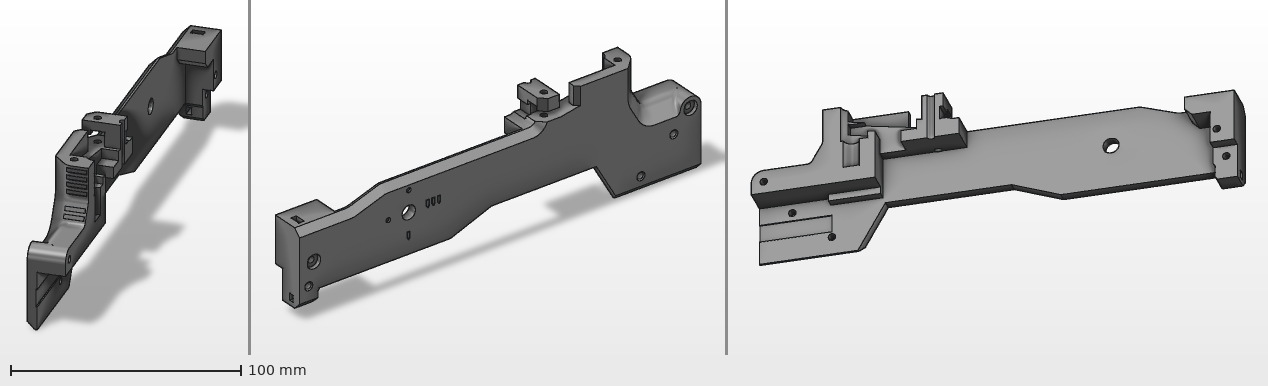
import cadquery as cq
import math


width = 17.5
length = 218.2
height = 65.0
plate_thickness = 4.5
bevel = 3.5

rear_top = 45.6
mid_top = 51.5
rear_slope_start = 189.5
rear_slope_end = 172.0
slope_radius = 8.7

foot_y = 208.2
foot_bottom = 5.2
foot_relief_y = 0.9
foot_relief_z = 1.3
rear_bottom = 13.3
mid_bottom = 21.8
rear_ramp_start = 136.2
rear_ramp_end = 114.0
keel_ramp_start = 57.0
keel_ramp_end = 44.5

tower_back = 86.6
tower_front = 77.0
tower_floor = 53.5
tower_root_radius = 4.8
head_bottom = 58.5
column_x = 10.3
column_back = 85.1
column_floor = 52.4
head_recess_x = 3.7
head_recess_top = 60.7
tower_hole_x = 5.7
tower_hole_y = 81.2

wall_y = 67.7
wall_x = 5.7
wall_bevel = 2.2
floor_start = 76.2
floor_slope = 0.19
rail_x = 9.5
tower_ledge_y = 74.6
tower_ledge_z = 49.0
opening_front = 55.9
shelf_drop = 6.5

block_back = 42.5
grip_front = 32.3
grip_bend_z = 48.7
grip_slope_angle = 30.0
grip_top = 39.0
grip_upper_radius = 4.8
grip_lower_radius = 2.6
grip_chamfer = 7.5
grip_edge_radius = 6.0
nose_radius = 5.7
nose_z = grip_top - nose_radius
nose_root_radius = 2.2

grip_flange_bottom = nose_z - nose_radius
tower_flange_bottom = 43.6
tower_flange_back = 93.8
rear_flange_front = 195.8
rear_flange_bottom = 36.5
rear_wall_step_z = 21.2
rear_wall_step_x = 12.5

screw_diameter = 3.3
pin_head_diameter = 7.2
screw_countersink_diameter = 4.4
pin_head_depth = 2.2
selector_diameter = 7.2
selector_y = 158.9
selector_z = 34.3
detent_diameter = 2.5
detent_depth = 1.0
detent_offset = 11.1

pin_centres = [(nose_radius, nose_z), (210.4, 27.5)]
screw_centres = [(14.8, 23.4), (32.7, 8.5), (213.2, 16.1)]

grip_screw_x = 8.7
grip_screw_y = 38.8
grip_screw_depth = 13.0
spring_y = 45.2
spring_pocket_diameter = 9.5
spring_pocket_back = 52.5
spring_pocket_floor = 48.0
spring_hole_diameter = 7.2
spring_hole_floor = 35.0

underside_chamfer = 3.3
rear_slot_x0 = 5.7
rear_slot_x1 = 11.3
rear_slot_mid = 8.5
rear_slot_y0 = 211.5
rear_slot_y1 = 214.3
rear_slot_depth = 2.2
rear_slot_step_z = rear_top - 2 * rear_slot_depth
foot_window_x = 7.2
foot_window_bottom = 7.6
foot_window_top = 11.1

grip_rib_x = 8.5
grip_rib_height = 3.3
end_pocket_depth = 0.7
end_pocket_length = 32.7
end_pocket_bottom = 11.1
end_pocket_top = 19.5

groove_x0 = 7.0
groove_x1 = 16.5
groove_height = 2.0
groove_pitch = 3.5
groove_depth = 0.7
first_groove_drop = 2.5
upper_groove_count = 4
first_lower_groove = 3.0
lower_groove_count = 2

mark_width = 1.5
mark_length = 4.0
mark_tip = 1.0
mark_depth = 0.5
mark_top_offset = 2.6
mark_first_offset = 10.5
mark_pitch = 3.0
mark_count = 3
lower_mark_offset = 9.8

margin = 11.0
reach = 0.2


def floor_z(y):
    """Height of the sloping floor between the tower and the grip block."""
    return tower_floor + floor_slope * (floor_start - y)


def box(x0, x1, y0, y1, z0, z1):
    return cq.Workplane("XY").box(x1 - x0, y1 - y0, z1 - z0, centered=False).translate((x0, y0, z0))


def side_prism(points, x0, x1):
    """Extrude a closed (Y, Z) outline from x0 to x1."""
    return cq.Workplane("YZ").workplane(offset=x0).polyline(points).close().extrude(x1 - x0)


def side_hole(y, z, diameter, depth):
    return cq.Workplane("YZ").center(y, z).circle(diameter / 2).extrude(depth)


def side_countersink(y, z):
    """45 degree countersink for a screw hole in the outer face."""
    mouth = screw_countersink_diameter / 2
    depth = (screw_countersink_diameter - screw_diameter) / 2
    cone = cq.Solid.makeCone(mouth, screw_diameter / 2, depth, pnt=(0, y, z), dir=(1, 0, 0))
    return cq.Workplane(cone)


def upright_hole(x, y, diameter, z0, z1):
    return cq.Workplane("XY").workplane(offset=z0).center(x, y).circle(diameter / 2).extrude(z1 - z0)


def edge_at(solid, y, z):
    """Edge on the outer face that is nearest to a point of the side outline."""
    return solid.edges(cq.selectors.NearestToPointSelector((0, y, z)))


def round_corner(solid, y, z, radius):
    """Round the outline corner that runs along X through (y, z)."""
    return solid.edges(cq.selectors.NearestToPointSelector((width / 2, y, z))).fillet(radius)


def outer_edges(solid, y0, y1, z0, z1):
    """Edges of the outer face that lie within a Y-Z range."""
    return solid.edges(cq.selectors.BoxSelector((-reach, y0, z0), (reach, y1, z1)))


grip_bend_y = grip_front - (grip_bend_z - grip_top) * math.tan(math.radians(grip_slope_angle))
outline = [
    (nose_radius, 0),
    (keel_ramp_end, 0),
    (keel_ramp_start, mid_bottom),
    (rear_ramp_end, mid_bottom),
    (rear_ramp_start, rear_bottom),
    (foot_y - foot_relief_y, rear_bottom),
    (foot_y, rear_bottom - foot_relief_z),
    (foot_y, foot_bottom + foot_relief_z),
    (foot_y + foot_relief_y, foot_bottom),
    (length, foot_bottom),
    (length, rear_top),
    (rear_slope_start, rear_top),
    (rear_slope_end, mid_top),
    (tower_back, mid_top),
    (tower_back, height),
    (tower_front, height),
    (tower_front, tower_floor),
    (floor_start, tower_floor),
    (wall_y, floor_z(wall_y)),
    (wall_y, height),
    (grip_front, height),
    (grip_front, grip_bend_z),
    (grip_bend_y, grip_top),
    (nose_radius, grip_top),
]
body = side_prism(outline, 0, width)
body = round_corner(body, rear_slope_start, rear_top, slope_radius)
body = round_corner(body, rear_slope_end, mid_top, slope_radius)
body = round_corner(body, tower_back, mid_top, tower_root_radius)
body = round_corner(body, grip_front, grip_bend_z, grip_upper_radius)
body = round_corner(body, grip_bend_y, grip_top, grip_lower_radius)

body = outer_edges(body, tower_back - reach, length - reach, rear_top - reach, height - reach).chamfer(bevel)
body = edge_at(body, (foot_y + length) / 2, foot_bottom).chamfer(bevel)
body = edge_at(body, keel_ramp_end / 2, 0).chamfer(bevel)
body = edge_at(body, wall_y, (height + floor_z(wall_y)) / 2).chamfer(wall_bevel)
body = outer_edges(body, nose_radius + reach, grip_front + reach, grip_top - reach, height - reach).chamfer(
    grip_chamfer
)

ridge_box = cq.selectors.BoxSelector(
    (grip_chamfer - reach, nose_radius + reach, grip_top - reach),
    (grip_chamfer + reach, grip_front + reach, height - reach),
)
body = body.edges(ridge_box).fillet(grip_edge_radius)

nose_section = [(bevel, 0), (width, 0), (width, nose_z), (0, nose_z), (0, bevel)]
nose_block = cq.Workplane("XZ").polyline(nose_section).close().extrude(-nose_radius)
nose_boss = cq.Workplane("YZ").center(nose_radius, nose_z).circle(nose_radius).extrude(width)
body = body.union(nose_block).union(nose_boss)

root_box = cq.selectors.BoxSelector(
    (reach, 1.5 * nose_radius, grip_top - grip_chamfer),
    (grip_chamfer, 2 * nose_radius + reach, grip_top),
)
body = body.edges(root_box).fillet(nose_root_radius)

hollow = [
    (-margin, -margin),
    (-margin, grip_flange_bottom),
    (opening_front, grip_flange_bottom),
    (opening_front, tower_flange_bottom),
    (tower_flange_back, tower_flange_bottom),
    (tower_flange_back, height + margin),
    (rear_flange_front, height + margin),
    (rear_flange_front, rear_flange_bottom + underside_chamfer),
    (rear_flange_front + underside_chamfer, rear_flange_bottom),
    (foot_y - foot_relief_y, rear_flange_bottom),
    (foot_y - foot_relief_y, rear_bottom),
    (foot_y, rear_bottom - foot_relief_z),
    (foot_y, -margin),
]
body = body.cut(side_prism(hollow, plate_thickness, width + margin))
body = body.cut(box(rear_wall_step_x, width, foot_y - margin, length, 0, rear_wall_step_z))

body = body.union(
    box(
        plate_thickness, grip_rib_x, grip_front, opening_front,
        grip_flange_bottom - grip_rib_height, grip_flange_bottom,
    )
)

body = body.cut(
    box(
        plate_thickness - end_pocket_depth, plate_thickness, 0, end_pocket_length,
        end_pocket_bottom, end_pocket_top,
    )
)

body = body.cut(
    box(rear_slot_x0, rear_slot_x1, rear_slot_y0, rear_slot_y1, rear_top - rear_slot_depth, rear_top)
)
body = body.cut(box(rear_slot_x0, rear_slot_mid, rear_slot_y0, rear_slot_y1, rear_slot_step_z, rear_top))
body = body.cut(
    box(plate_thickness, foot_window_x, foot_y, length, foot_window_bottom, foot_window_top)
)

body = body.cut(box(0, column_x, tower_front, tower_back + margin, tower_floor, head_bottom))
body = body.cut(box(0, width, column_back, tower_back + margin, tower_floor, head_bottom))
body = body.cut(box(head_recess_x, column_x, tower_front, tower_back, tower_floor, head_recess_top))
body = body.cut(box(rail_x, width, column_back, tower_flange_back, column_floor, tower_floor))
body = body.cut(box(rail_x, width, wall_y, tower_ledge_y, tower_ledge_z, height))
for hole_x in (tower_hole_x, width):
    body = body.cut(upright_hole(hole_x, tower_hole_y, screw_diameter, tower_flange_bottom, height))

above_floor = [
    (block_back, floor_z(block_back)),
    (block_back, height),
    (wall_y, height),
    (wall_y, floor_z(wall_y)),
]
body = body.cut(side_prism(above_floor, wall_x, width))
body = body.cut(box(rail_x, width, opening_front, wall_y, 0, height))

above_shelf = [(y, z - shelf_drop) for y, z in above_floor]
body = body.cut(side_prism(above_shelf, rail_x, width))

body = body.cut(upright_hole(width, spring_y, spring_pocket_diameter, spring_pocket_floor, height))
body = body.cut(
    box(width - spring_pocket_diameter / 2, width, spring_y, spring_pocket_back, spring_pocket_floor, height)
)
body = body.cut(upright_hole(width, spring_y, spring_hole_diameter, spring_hole_floor, height))

body = body.cut(
    upright_hole(grip_screw_x, grip_screw_y, screw_diameter, height - grip_screw_depth, height)
)

for i in range(upper_groove_count):
    groove_top = height - first_groove_drop + groove_height / 2 - i * groove_pitch
    body = body.cut(
        box(
            groove_x0, groove_x1, grip_front - margin, grip_front + groove_depth,
            groove_top - groove_height, groove_top,
        )
    )

tilt = math.radians(grip_slope_angle)
slope_groove = box(groove_x0, groove_x1, -margin, groove_depth, -groove_height, 0)
for i in range(lower_groove_count):
    along = first_lower_groove + i * groove_pitch
    body = body.cut(
        slope_groove.rotate((0, 0, 0), (1, 0, 0), -grip_slope_angle).translate(
            (0, grip_front - along * math.sin(tilt), grip_bend_z - along * math.cos(tilt))
        )
    )

for pin_y, pin_z in pin_centres:
    body = body.cut(side_hole(pin_y, pin_z, screw_diameter, width))
    body = body.cut(side_hole(pin_y, pin_z, pin_head_diameter, pin_head_depth))
for screw_y, screw_z in screw_centres:
    body = body.cut(side_hole(screw_y, screw_z, screw_diameter, width))
    body = body.cut(side_countersink(screw_y, screw_z))
body = body.cut(side_hole(selector_y, selector_z, selector_diameter, width))

for step_y, step_z in ((detent_offset, 0), (0, detent_offset)):
    body = body.cut(side_hole(selector_y + step_y, selector_z + step_z, detent_diameter, detent_depth))


def bullet_mark(y, top):
    """Engraved bullet symbol, pointing down, centred on y."""
    half = mark_width / 2
    shoulder = top - mark_length + mark_tip
    symbol = [
        (y - half, top),
        (y + half, top),
        (y + half, shoulder),
        (y, shoulder - mark_tip),
        (y - half, shoulder),
    ]
    return side_prism(symbol, 0, mark_depth)


for i in range(mark_count):
    mark_y = selector_y - mark_first_offset - i * mark_pitch
    body = body.cut(bullet_mark(mark_y, selector_z + mark_top_offset))
body = body.cut(bullet_mark(selector_y, selector_z - lower_mark_offset))

result = body